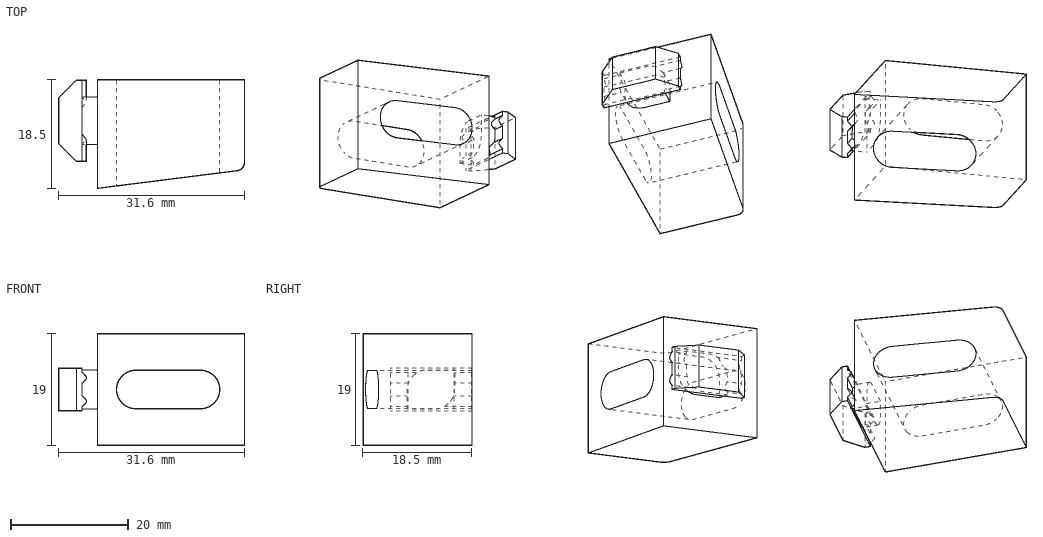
import cadquery as cq
import math

body_length = 25.0
body_depth = 18.5
body_height = 19.0
taper_angle = 7.2
front_edge_radius = 1.5

slot_length = 17.5
slot_height = 6.5
slot_center_x = 12.0

head_center_y = -7.0
head_gap = 2.6
head_thickness = 4.0
head_width = 13.8
head_height = 7.3
head_chamfer = 3.0

stem_width = 8.1
stem_height = 6.7
stem_corner_radius = 3.5

ridge_spacing = 4.0
ridge_base_half_width = 0.92
ridge_tip_radius = 0.5


def make_body():
    """Block with a tapered front face and a rounded front right edge."""
    right_depth = body_depth - body_length * math.tan(math.radians(taper_angle))
    outline = [
        (0, 0),
        (body_length, 0),
        (body_length, -right_depth),
        (0, -body_depth),
    ]
    block = cq.Workplane("XY").polyline(outline).close().extrude(body_height / 2, both=True)
    front_right_edge = cq.selectors.NearestToPointSelector((body_length, -right_depth, 0))
    return block.edges(front_right_edge).fillet(front_edge_radius)


def make_slot():
    """Cutter for the obround slot, reaching past both the back and front faces."""
    return (
        cq.Workplane("XZ")
        .center(slot_center_x, 0)
        .slot2D(slot_length, slot_height)
        .extrude(body_depth, both=True)
    )


def make_head():
    """Bar along Y whose two outer vertical edges are chamfered."""
    bar = cq.Workplane("XY").box(head_thickness, head_width, head_height)
    bar = bar.edges("<X and |Z").chamfer(head_chamfer)
    return bar.translate((-head_gap - head_thickness / 2, head_center_y, 0))


def make_stem():
    """Rectangular stem with two opposite corners rounded so it can turn in a groove."""
    stem = cq.Workplane("XY").box(head_gap, stem_width, stem_height)
    for side in (-1, 1):
        corner = (0, side * stem_width / 2, -side * stem_height / 2)
        stem = stem.edges(cq.selectors.NearestToPointSelector(corner)).fillet(stem_corner_radius)
    return stem.translate((-head_gap / 2, head_center_y, 0))


def make_ridge(center_z):
    """Round-tipped ridge along the whole width of the head."""
    tangent_offset = ridge_tip_radius * math.sin(math.radians(45))
    tangent_x = -head_gap + ridge_base_half_width - tangent_offset
    tip_x = -head_gap + ridge_base_half_width - ridge_tip_radius * (math.sqrt(2) - 1)
    return (
        cq.Workplane("XZ", origin=(0, head_center_y, 0))
        .moveTo(-head_gap, center_z - ridge_base_half_width)
        .lineTo(tangent_x, center_z - tangent_offset)
        .threePointArc((tip_x, center_z), (tangent_x, center_z + tangent_offset))
        .lineTo(-head_gap, center_z + ridge_base_half_width)
        .close()
        .extrude(head_width / 2, both=True)
    )


result = make_body().cut(make_slot())
result = result.union(make_stem()).union(make_head())
for side in (-1, 1):
    result = result.union(make_ridge(side * ridge_spacing / 2))